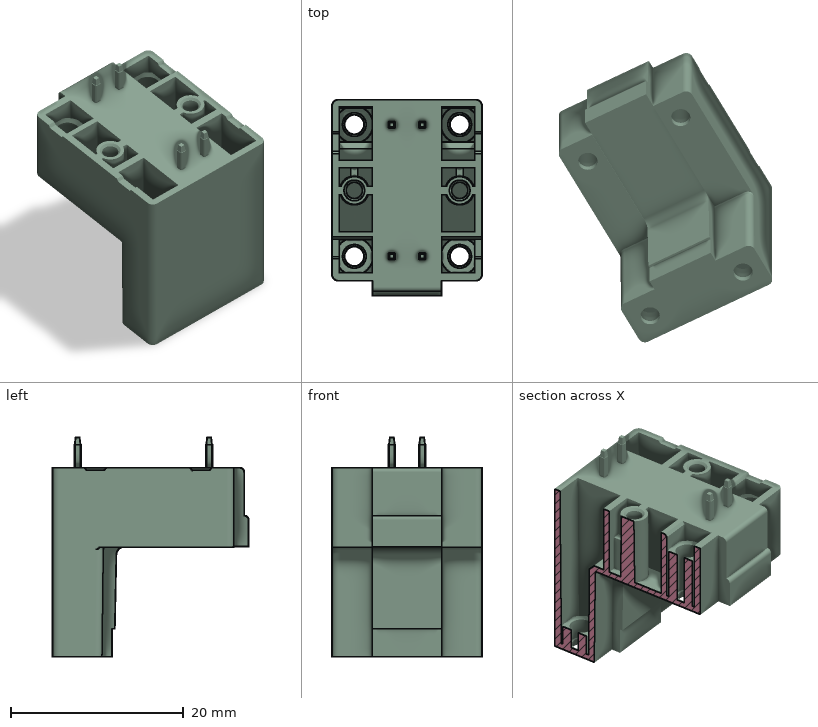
import cadquery as cq
import math


total_height = 25.4
body_width = 17.4
half_width = body_width / 2
arm_depth = 20.98
pin_length = 3.5
top_z = total_height - pin_length
under_z = 12.67
corner_radius = 0.8
wall = 0.8

leg_depth_foot = 5.75
leg_depth_top = 5.9
flare_height = 0.23
flare_width = 0.064

strip_width = 8.0
strip_half = strip_width / 2
strip_under_z = 12.75
nose_front = 22.7
nose_round = 0.5
nose_step_z = 16.35
pad_depth_foot = 6.9
pad_step_z = 3.25
pad_depth_step = 7.25
pad_depth_top = 7.42
pad_fillet = 0.95

pocket_outer_x = 7.85
floor_z = under_z + wall
back_pocket = (0.81, 7.0)
middle_pocket = (7.9, 15.3)
front_pocket = (16.2, 20.07)
back_pocket_draft = 0.2
leg_pocket_front_foot = 4.88
leg_pocket_front_top = 4.95
shelf_edge = 5.72
shelf_slope_drop = 0.8

hole_x = 6.1
back_hole_y = -2.9
front_hole_y = -18.14
hole_radius = 1.12
bore_radius = 1.37
boss_radius = 2.15
front_boss_z = 19.7
back_boss_z = 3.25

post_y = -10.52
post_radius = 1.6
post_draft = 0.5
post_web = 1.0
post_rib_width = 0.81
post_rib_z = 17.78
post_hole_radius = 0.95
post_chamfer = 0.25

notch_starts = (3.7, 15.9)
notch_length = 2.55
notch_depth = 0.3
notch_slope = 0.25

pin_x = 1.75
pin_rows = (-2.92, -18.14)
pin_size = 0.8
pin_chamfer = 0.1
tip_height = 0.85
tip_size = 0.48


def extrude_side_profile(profile, x_from, x_to):
    """Extrude a closed Y-Z profile drawn on the YZ plane along X."""
    return profile.extrude(x_to - x_from).translate((x_from, 0, 0))


def block(x_range, y_range, z_range):
    """Axis-aligned box between pairs of limits."""
    size = [high - low for low, high in (x_range, y_range, z_range)]
    corner = (x_range[0], y_range[0], z_range[0])
    return cq.Workplane("XY").box(*size, centered=False).translate(corner)


def cylinder(x, y, radius, z_from, z_to):
    return cq.Workplane("XY", origin=(x, y, z_from)).circle(radius).extrude(z_to - z_from)


def rounded_prism(depth, z_from, z_to):
    """Upright block as wide as the body, from the back face forward, with rounded corners."""
    prism = block((-half_width, half_width), (-depth, 0), (z_from, z_to))
    return prism.edges("|Z").fillet(corner_radius)


def rounded_section(depth, growth):
    """Rounded rectangle of the leg, grown outward by the same amount all round."""
    section = cq.Sketch().rect(body_width + 2 * growth, depth + 2 * growth)
    section = section.vertices().fillet(corner_radius + growth)
    return section.moved(cq.Location(cq.Vector(0, -depth / 2, 0)))


def leg_loft(z_from, depth_from, z_to, depth_to, growth_to):
    lower = rounded_section(depth_from, 0)
    upper = rounded_section(depth_to, growth_to).moved(cq.Location(cq.Vector(0, 0, z_to - z_from)))
    return cq.Workplane("XY", origin=(0, 0, z_from)).placeSketch(lower, upper).loft()


def make_body():
    flare_z = under_z - flare_height
    arm = rounded_prism(arm_depth, under_z, top_z)
    leg = leg_loft(0, leg_depth_foot, flare_z, leg_depth_top, 0)
    flare = leg_loft(flare_z, leg_depth_top, under_z, leg_depth_top, flare_width)
    flare = flare.intersect(rounded_prism(arm_depth, flare_z, under_z))
    return arm.union(leg).union(flare)


def make_nose():
    """Stepped central nose on the front of the arm, both upper edges rounded."""
    upper_front = nose_front - nose_round
    quarter = nose_round * math.sqrt(0.5)
    top_start = upper_front - nose_round
    profile = (
        cq.Workplane("YZ")
        .moveTo(-leg_depth_foot, strip_under_z)
        .lineTo(-nose_front, strip_under_z)
        .lineTo(-nose_front, nose_step_z - nose_round)
        .threePointArc(
            (-upper_front - quarter, nose_step_z - nose_round + quarter),
            (-upper_front, nose_step_z),
        )
        .lineTo(-upper_front, top_z - nose_round)
        .threePointArc((-top_start - quarter, top_z - nose_round + quarter), (-top_start, top_z))
        .lineTo(-leg_depth_foot, top_z)
        .close()
    )
    return extrude_side_profile(profile, -strip_half, strip_half)


def make_pad():
    """Central pad on the front of the leg, blended into the underside of the arm."""
    quarter = pad_fillet * math.sqrt(0.5)
    arc_center_y = -pad_depth_top - pad_fillet
    arc_center_z = strip_under_z - pad_fillet
    profile = (
        cq.Workplane("YZ")
        .moveTo(-corner_radius, 0)
        .lineTo(-pad_depth_foot, 0)
        .lineTo(-pad_depth_foot, pad_step_z)
        .lineTo(-pad_depth_step, pad_step_z)
        .lineTo(-pad_depth_top, arc_center_z)
        .threePointArc(
            (arc_center_y + quarter, arc_center_z + quarter),
            (arc_center_y, strip_under_z),
        )
        .lineTo(-corner_radius, strip_under_z)
        .close()
    )
    return extrude_side_profile(profile, -strip_half, strip_half)


def make_strip_relief():
    """Shallow channel that lifts the underside of the arm between the two sides."""
    return block((-strip_half, strip_half), (-arm_depth, -leg_depth_top), (under_z, strip_under_z))


def pocket_block(limits):
    near, far = limits
    return block((-pocket_outer_x, -strip_half), (-far, -near), (floor_z, top_z))


def screw_hole(y, bore_floor_z, bore_top_z):
    """Through hole below a wider bore that opens at the top of the boss."""
    hole = cylinder(-hole_x, y, hole_radius, bore_floor_z - wall, bore_floor_z)
    return hole.union(cylinder(-hole_x, y, bore_radius, bore_floor_z, bore_top_z))


def back_pocket_cut():
    """Deep pocket running down the leg, with a sloped shelf in front and a boss at the foot."""
    near, far = back_pocket
    profile = cq.Workplane("YZ").polyline([
        (-near, top_z),
        (-near - back_pocket_draft, wall),
        (-leg_pocket_front_foot, wall),
        (-leg_pocket_front_top, floor_z - shelf_slope_drop),
        (-shelf_edge, floor_z),
        (-far, floor_z),
        (-far, top_z),
    ]).close()
    pocket = extrude_side_profile(profile, -pocket_outer_x, -strip_half)
    pocket = pocket.cut(cylinder(-hole_x, back_hole_y, boss_radius, wall, back_boss_z))
    return pocket.union(screw_hole(back_hole_y, wall, back_boss_z))


def front_pocket_cut():
    """Square pocket around a raised screw boss."""
    pocket = pocket_block(front_pocket)
    pocket = pocket.cut(cylinder(-hole_x, front_hole_y, boss_radius, floor_z, front_boss_z))
    return pocket.union(screw_hole(front_hole_y, floor_z, front_boss_z))


def middle_pocket_cut():
    """Pocket around a chamfered blind post, held by a web across and a low rib behind."""
    height = top_z - floor_z
    post = (
        cq.Workplane("XY", origin=(-hole_x, post_y, top_z))
        .circle(post_radius)
        .extrude(-height, taper=-post_draft)
    )
    web_y = (post_y - post_web / 2, post_y + post_web / 2)
    web = block((-pocket_outer_x, -strip_half), web_y, (floor_z, top_z))
    rib_x = (-hole_x - post_rib_width / 2, -hole_x + post_rib_width / 2)
    rib = block(rib_x, (post_y, -middle_pocket[0]), (floor_z, post_rib_z))
    hole = cylinder(-hole_x, post_y, post_hole_radius, floor_z, top_z)
    mouth = (
        cq.Workplane("XY", origin=(-hole_x, post_y, top_z - post_chamfer))
        .circle(post_hole_radius)
        .workplane(offset=post_chamfer)
        .circle(post_hole_radius + post_chamfer)
        .loft()
    )
    pocket = pocket_block(middle_pocket).cut(post).cut(web).cut(rib)
    return pocket.union(hole).union(mouth)


def notch_cut(start):
    """Shallow slope-sided notch from the side of the body to the central strip."""
    end = start + notch_length
    profile = cq.Workplane("YZ").polyline([
        (-start, top_z),
        (-start - notch_slope, top_z - notch_depth),
        (-end + notch_slope, top_z - notch_depth),
        (-end, top_z),
    ]).close()
    return extrude_side_profile(profile, -half_width, -strip_half)


def make_pin(x, y):
    """Square pin with chamfered edges and a tapered tip, rooted in the body."""
    shank_height = pin_length - tip_height
    shank = (
        cq.Workplane("XY", origin=(x, y, top_z - wall))
        .rect(pin_size, pin_size)
        .extrude(shank_height + wall)
        .edges("|Z")
        .chamfer(pin_chamfer)
    )
    tip_base = pin_size - pin_chamfer
    tip = (
        cq.Workplane("XY", origin=(x, y, top_z + shank_height))
        .rect(tip_base, tip_base)
        .workplane(offset=tip_height)
        .rect(tip_size, tip_size)
        .loft()
    )
    return shank.union(tip)


result = make_body().cut(make_strip_relief()).union(make_nose()).union(make_pad())

side_cuts = [back_pocket_cut(), middle_pocket_cut(), front_pocket_cut()]
side_cuts += [notch_cut(start) for start in notch_starts]
for side_cut in side_cuts:
    result = result.cut(side_cut).cut(side_cut.mirror("YZ"))

for x in (-pin_x, pin_x):
    for y in pin_rows:
        result = result.union(make_pin(x, y))